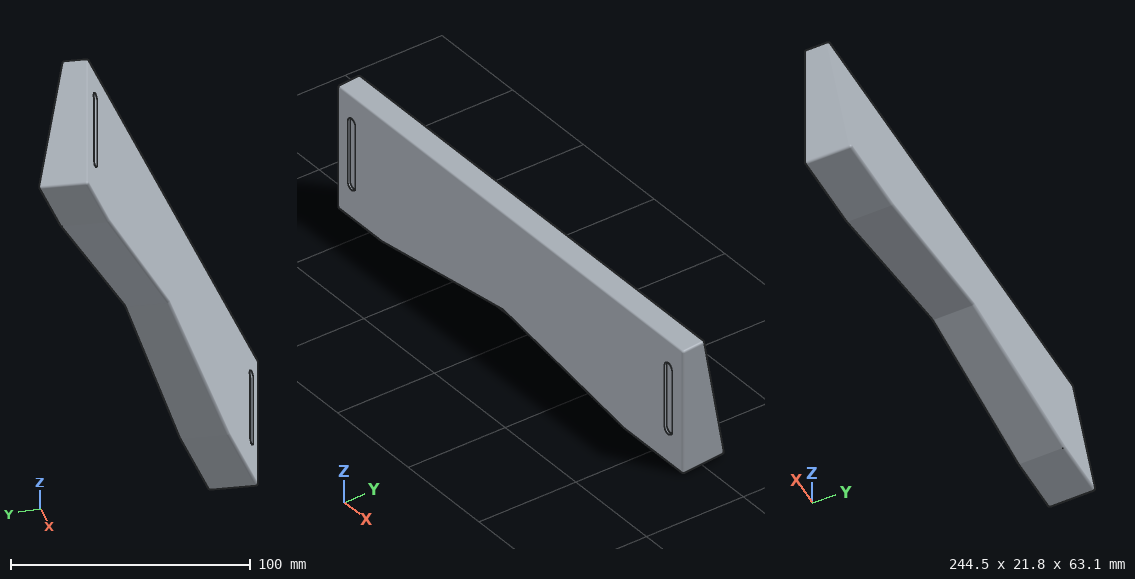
import cadquery as cq
import math

length = 244.5
depth = 22.0
height = 63.3
top_depth = 11.5
tilt = 5.0
edge_radius = 1.2

notch_x = 116.9
notch_half_width = 85.8
notch_rise = 12.7

slot_width = 5.5
slot_length = 36.0
slot_inset = 10.3
slot_center_z = 33.0
slot_depth = 1.2

slope = math.tan(math.radians(tilt))


def wedge_body():
    """Tapered bar: vertical front, leaning back, sloped top and bottom."""
    profile = [
        (0, 0),
        (depth, depth * slope),
        (top_depth, height),
        (0, height - top_depth * slope),
    ]
    return cq.Workplane("YZ").polyline(profile).close().extrude(length)


def notch_cutter():
    """Shallow V under the bar, running parallel to the sloped bottom face."""
    overrun = 12.2
    drop = overrun * notch_rise / notch_half_width
    half_width = notch_half_width + overrun
    plane = cq.Plane(origin=(notch_x, 0, 0), xDir=(1, 0, 0), normal=(0, -1, -slope))
    rise = notch_rise * math.cos(math.radians(tilt))
    return (
        cq.Workplane(plane)
        .polyline([(-half_width, -drop), (0, rise), (half_width, -drop)])
        .close()
        .extrude(2 * depth, both=True)
    )


def slot_cutter(x):
    """Shallow upright slot sunk into the front face."""
    return (
        cq.Workplane("XZ")
        .center(x, slot_center_z)
        .slot2D(slot_length, slot_width, 90)
        .extrude(-slot_depth)
    )


result = wedge_body().cut(notch_cutter())
result = result.edges().fillet(edge_radius)
for slot_x in (slot_inset, length - slot_inset):
    result = result.cut(slot_cutter(slot_x))